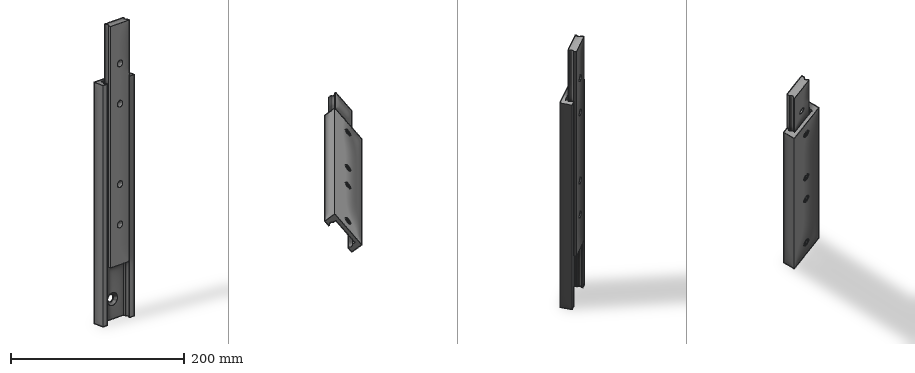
import cadquery as cq
import math

total_length = 371.0
member_length = 300.0
travel = total_length - member_length

channel_width = 50.0
channel_depth = 15.0
web_thickness = 4.5
slot_width = 35.3

rail_width = 30.0
rail_back = 6.5
rail_front = 17.0

race_radius = 3.0
race_x = 10.8
race_y = (slot_width + rail_width) / 4

channel_hole_diameter = 9.3
countersink_depth = 3.5
countersink_angle = 90
rail_hole_diameter = 8.0
channel_hole_spacings = (50.0, 250.0)
rail_hole_spacings = (100.0, 200.0)


def block(x_start, x_end, width, z_start):
    """Member-length block centred on Y."""
    return cq.Workplane("XY").box(
        x_end - x_start, width, member_length, centered=(False, True, False)
    ).translate((x_start, 0, z_start))


def ball_races(z_start):
    """Two round bars that shape the grooves on either side."""
    return (
        cq.Workplane("XY", origin=(0, 0, z_start))
        .pushPoints([(race_x, -race_y), (race_x, race_y)])
        .circle(race_radius)
        .extrude(member_length)
    )


def hole_centres(spacings, z_start):
    """One pair of hole centres in the YZ plane for each spacing."""
    middle = z_start + member_length / 2
    return [(0, middle + side * spacing / 2) for spacing in spacings for side in (-1, 1)]


def make_channel():
    """Fixed outer member with a C-shaped section."""
    body = block(0, channel_depth, channel_width, 0)
    slot = block(web_thickness, channel_depth, slot_width, 0)
    channel = body.cut(slot).cut(ball_races(0))
    slot_floor = channel.copyWorkplane(cq.Workplane("YZ", origin=(web_thickness, 0, 0)))
    flare = countersink_depth * math.tan(math.radians(countersink_angle / 2))
    countersink_diameter = channel_hole_diameter + 2 * flare
    return slot_floor.pushPoints(hole_centres(channel_hole_spacings, 0)).cskHole(
        channel_hole_diameter, countersink_diameter, countersink_angle, depth=web_thickness
    )


def make_rail():
    """Sliding inner member, extended upward by the travel."""
    body = block(rail_back, rail_front, rail_width, travel)
    holes = (
        cq.Workplane("YZ")
        .pushPoints(hole_centres(rail_hole_spacings, travel))
        .circle(rail_hole_diameter / 2)
        .extrude(rail_front)
    )
    return body.cut(ball_races(travel)).cut(holes)


channel = make_channel()
rail = make_rail()

result = cq.Compound.makeCompound([channel.val(), rail.val()])